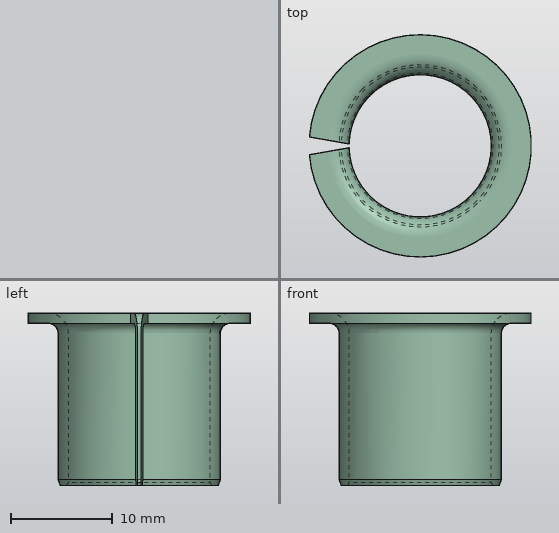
import cadquery as cq
import math

flange_diameter = 21.92
height = 17.0
wall = 1.0
bore_diameter = 13.98
lead_in_height = 0.6
lead_in_angle = 20.0
bore_chamfer_height = 0.3
bore_chamfer_angle = 30.0
slot_apex_distance = 6.0
slot_half_angle = 10.0

flange_radius = flange_diameter / 2
bore_radius = bore_diameter / 2
sleeve_radius = bore_radius + wall
outer_bend = wall
inner_bend = outer_bend + wall
bend_x = sleeve_radius + outer_bend
bend_z = height - inner_bend
lead_in_inset = lead_in_height * math.tan(math.radians(lead_in_angle))
bore_chamfer_inset = bore_chamfer_height * math.tan(math.radians(bore_chamfer_angle))
diagonal = math.sqrt(0.5)


def bend_point(radius):
    """Middle of a quarter-circle bend, in the radial section."""
    return (bend_x - radius * diagonal, bend_z + radius * diagonal)


def make_bushing():
    """Flanged sleeve of constant wall, revolved about Z from the -X side."""
    return (
        cq.Workplane("XZ")
        .moveTo(bore_radius, bore_chamfer_height)
        .lineTo(bore_radius + bore_chamfer_inset, 0)
        .lineTo(sleeve_radius - lead_in_inset, 0)
        .lineTo(sleeve_radius, lead_in_height)
        .lineTo(sleeve_radius, bend_z)
        .threePointArc(bend_point(outer_bend), (bend_x, height - wall))
        .lineTo(flange_radius, height - wall)
        .lineTo(flange_radius, height)
        .lineTo(bend_x, height)
        .threePointArc(bend_point(inner_bend), (bore_radius, bend_z))
        .close()
        .revolve(360, (0, 0), (0, 1))
        .rotate((0, 0, 0), (0, 0, 1), 180)
    )


def make_slot():
    """Full-height wedge that splits the -X side and widens outward."""
    outer_x = -flange_diameter
    half_width = (-outer_x - slot_apex_distance) * math.tan(math.radians(slot_half_angle))
    return (
        cq.Workplane("XY")
        .polyline([(-slot_apex_distance, 0), (outer_x, half_width), (outer_x, -half_width)])
        .close()
        .extrude(height)
    )


result = make_bushing().cut(make_slot())